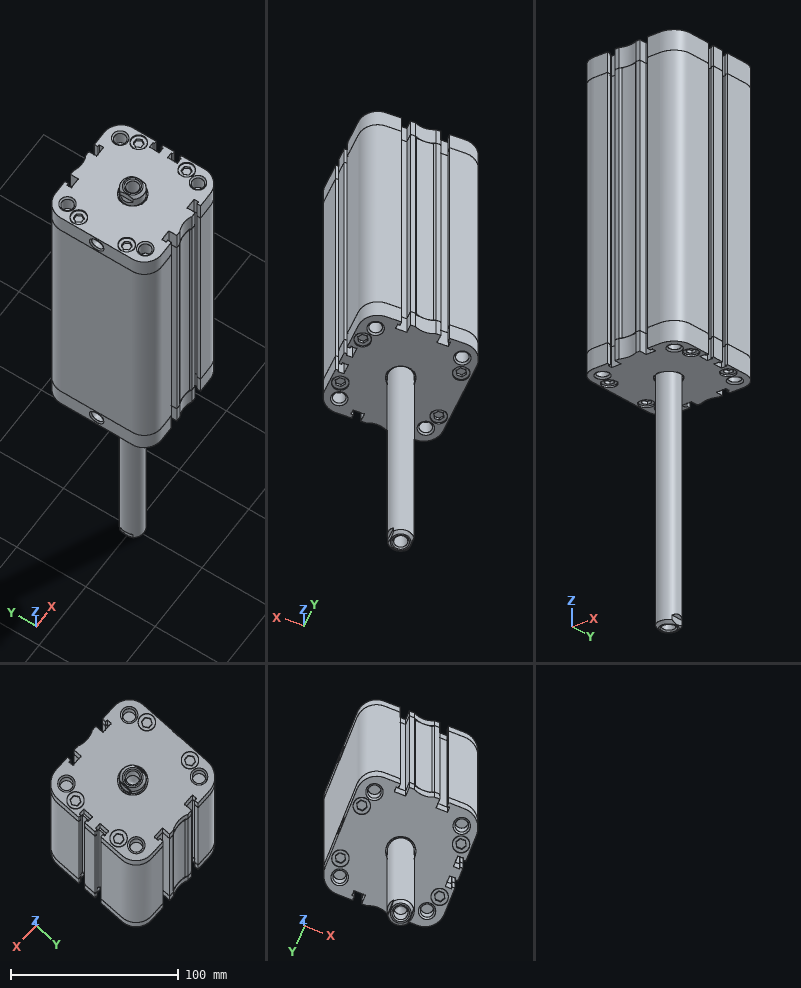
import cadquery as cq
import math

WIDTH = 77.0
CORNER_RADIUS = 12.7
BODY_LENGTH = 209.0
CAP_HEIGHT = 14.0
BARREL_LENGTH = BODY_LENGTH - 2 * CAP_HEIGHT
HALF_WIDTH = WIDTH / 2

SIDE_SLOT_WIDTH = 5.8
SIDE_SLOT_OFFSET = 12.7
SIDE_SLOT_DEPTH = 5.8
SIDE_SLOT_LIP = 2.7
SIDE_SLOT_UNDERCUT = 1.5

T_SLOT_OFFSET = 6.5
T_SLOT_NECK = 4.5
T_SLOT_WIDTH = 7.0
CAP_T_SLOT_DEPTH = 5.8
BARREL_T_SLOT_DEPTH = 4.5
T_SLOT_LIP = 2.0

CHANNEL_WIDTH = 13.0
CHANNEL_DEPTH = 1.5
CHANNEL_FLOOR_WIDTH = 10.8
CHANNEL_EDGE_DEPTH = 1.0

MOUNT_OFFSET = 28.0
MOUNT_MOUTH_DIAMETER = 10.5
MOUNT_THREAD_DIAMETER = 8.0
MOUNT_DEPTH = 11.5

SCREW_X = 32.0
SCREW_Y = 17.5
SCREW_RECESS_DIAMETER = 10.5
SCREW_RECESS_DEPTH = 1.0
SCREW_SOCKET_DIAMETER = 6.5
SCREW_SOCKET_DEPTH = 3.0

PORT_DISTANCE = 7.5
PORT_MOUTH_DIAMETER = 10.5
PORT_DIAMETER = 8.5
PORT_DEPTH = 11.5

ROD_DIAMETER = 16.0
ROD_TOP_LENGTH = 8.0
ROD_BOTTOM_LENGTH = 168.0
ROD_LENGTH = ROD_BOTTOM_LENGTH + BODY_LENGTH + ROD_TOP_LENGTH
ROD_CHAMFER = 2.0
ROD_FLATS_WIDTH = 13.0
ROD_FLATS_LENGTH = 5.0
ROD_HOLE_MOUTH_DIAMETER = 10.5
ROD_HOLE_DIAMETER = 8.5
ROD_HOLE_DEPTH = 15.5
DRILL_POINT_ANGLE = 118

ROD_RECESS_DIAMETER = 18.0
ROD_RECESS_DEPTH = 1.0


def cylinder(diameter, top, depth, x=0, y=0):
    """Upright cylinder that goes down from height top."""
    return cq.Workplane("XY", origin=(x, y, top - depth)).circle(diameter / 2).extrude(depth)


def cone(top_diameter, bottom_diameter, top, depth, x=0, y=0):
    """Upright cone, or frustum, that goes down from height top."""
    solid = cq.Solid.makeCone(bottom_diameter / 2, top_diameter / 2, depth, cq.Vector(x, y, top - depth))
    return cq.Workplane(solid)


def side_slot(length):
    """Slot in the +Y side at positive X."""
    inner = SIDE_SLOT_OFFSET - SIDE_SLOT_WIDTH / 2
    outer = SIDE_SLOT_OFFSET + SIDE_SLOT_WIDTH / 2
    undercut = outer + SIDE_SLOT_UNDERCUT
    floor = HALF_WIDTH - SIDE_SLOT_DEPTH
    lip = HALF_WIDTH - SIDE_SLOT_LIP
    return (
        cq.Workplane("XY")
        .moveTo(inner, HALF_WIDTH)
        .lineTo(inner, floor)
        .lineTo(undercut, floor)
        .lineTo(undercut, lip)
        .lineTo(outer, lip)
        .lineTo(outer, HALF_WIDTH)
        .close()
        .extrude(length)
    )


def t_slot(length, depth):
    """T-slot in the +X side at positive Y."""
    neck = (
        cq.Workplane("XY")
        .center(HALF_WIDTH - depth / 2, T_SLOT_OFFSET)
        .rect(depth, T_SLOT_NECK)
        .extrude(length)
    )
    head_depth = depth - T_SLOT_LIP
    head = (
        cq.Workplane("XY")
        .center(HALF_WIDTH - depth + head_depth / 2, T_SLOT_OFFSET)
        .rect(head_depth, T_SLOT_WIDTH)
        .extrude(length)
    )
    return neck.union(head)


def cap_channel(length):
    """Concave channel in the +Y side of a cap, one arc wide."""
    return (
        cq.Workplane("XY")
        .moveTo(-CHANNEL_WIDTH / 2, HALF_WIDTH)
        .threePointArc((0, HALF_WIDTH - CHANNEL_DEPTH), (CHANNEL_WIDTH / 2, HALF_WIDTH))
        .close()
        .extrude(length)
    )


def barrel_channel(length):
    """Concave channel in the +Y side of the barrel, with bevelled edges."""
    edge = HALF_WIDTH - CHANNEL_EDGE_DEPTH
    return (
        cq.Workplane("XY")
        .moveTo(-CHANNEL_WIDTH / 2, HALF_WIDTH)
        .lineTo(-CHANNEL_FLOOR_WIDTH / 2, edge)
        .threePointArc((0, HALF_WIDTH - CHANNEL_DEPTH), (CHANNEL_FLOOR_WIDTH / 2, edge))
        .lineTo(CHANNEL_WIDTH / 2, HALF_WIDTH)
        .close()
        .extrude(length)
    )


def slotted_block(length, channel, t_slot_depth):
    """Rounded square block with every lengthwise slot and the bore for the rod."""
    block = cq.Workplane("XY").rect(WIDTH, WIDTH).extrude(length).edges("|Z").fillet(CORNER_RADIUS)
    right_slot = side_slot(length)
    back_cut = right_slot.union(right_slot.mirror("YZ")).union(channel)
    upper_t_slot = t_slot(length, t_slot_depth)
    block = block.cut(back_cut).cut(back_cut.mirror("XZ"))
    block = block.cut(upper_t_slot).cut(upper_t_slot.mirror("XZ"))
    return block.cut(cylinder(ROD_DIAMETER, length, length))


def mounting_hole(x, y):
    """Countersunk threaded hole in the outer face of a cap."""
    countersink = (MOUNT_MOUTH_DIAMETER - MOUNT_THREAD_DIAMETER) / 2
    mouth = cone(MOUNT_MOUTH_DIAMETER, MOUNT_THREAD_DIAMETER, CAP_HEIGHT, countersink, x, y)
    thread = cylinder(MOUNT_THREAD_DIAMETER, CAP_HEIGHT, MOUNT_DEPTH, x, y)
    return mouth.union(thread)


def screw_recess(x, y):
    """Recess above a screw head, with the head's hexagon socket."""
    recess = cylinder(SCREW_RECESS_DIAMETER, CAP_HEIGHT, SCREW_RECESS_DEPTH, x, y)
    socket = (
        cq.Workplane("XY", origin=(x, y, CAP_HEIGHT - SCREW_SOCKET_DEPTH))
        .polygon(6, SCREW_SOCKET_DIAMETER)
        .extrude(SCREW_SOCKET_DEPTH)
    )
    return recess.union(socket)


def air_port():
    """Countersunk port that enters a cap from its -X side."""
    countersink = (PORT_MOUTH_DIAMETER - PORT_DIAMETER) / 2
    mouth_centre = cq.Vector(-HALF_WIDTH, 0, CAP_HEIGHT - PORT_DISTANCE)
    inward = cq.Vector(1, 0, 0)
    mouth = cq.Solid.makeCone(
        PORT_MOUTH_DIAMETER / 2, PORT_DIAMETER / 2, countersink, mouth_centre, inward
    )
    hole = cq.Solid.makeCylinder(PORT_DIAMETER / 2, PORT_DEPTH, mouth_centre, inward)
    return cq.Workplane(mouth).union(cq.Workplane(hole))


def make_end_cap():
    """End cap with its outer face up and its inner face at Z = 0."""
    cap = slotted_block(CAP_HEIGHT, cap_channel(CAP_HEIGHT), CAP_T_SLOT_DEPTH)
    cap = cap.cut(cylinder(ROD_RECESS_DIAMETER, CAP_HEIGHT, ROD_RECESS_DEPTH))
    cap = cap.cut(air_port())
    for x_side in (-1, 1):
        for y_side in (-1, 1):
            cap = cap.cut(mounting_hole(x_side * MOUNT_OFFSET, y_side * MOUNT_OFFSET))
            cap = cap.cut(screw_recess(x_side * SCREW_X, y_side * SCREW_Y))
    return cap


def make_barrel():
    """Extruded barrel between the two caps."""
    barrel = slotted_block(BARREL_LENGTH, barrel_channel(BARREL_LENGTH), BARREL_T_SLOT_DEPTH)
    return barrel.translate((0, 0, CAP_HEIGHT))


def rod_flat():
    """Cut for the wrench flat on the +X side of the upper rod end, with a 45 degree shoulder."""
    flat = ROD_FLATS_WIDTH / 2
    radius = ROD_DIAMETER / 2
    shoulder = ROD_LENGTH - ROD_FLATS_LENGTH
    return (
        cq.Workplane("XZ")
        .moveTo(flat, ROD_LENGTH)
        .lineTo(flat, shoulder)
        .lineTo(radius, shoulder - (radius - flat))
        .lineTo(radius, ROD_LENGTH)
        .close()
        .extrude(radius, both=True)
    )


def rod_end_hole():
    """Countersunk blind hole in the upper rod end, with a drill point."""
    countersink = (ROD_HOLE_MOUTH_DIAMETER - ROD_HOLE_DIAMETER) / 2
    point_depth = ROD_HOLE_DIAMETER / 2 / math.tan(math.radians(DRILL_POINT_ANGLE / 2))
    mouth = cone(ROD_HOLE_MOUTH_DIAMETER, ROD_HOLE_DIAMETER, ROD_LENGTH, countersink)
    hole = cylinder(ROD_HOLE_DIAMETER, ROD_LENGTH, ROD_HOLE_DEPTH)
    point = cone(ROD_HOLE_DIAMETER, 0, ROD_LENGTH - ROD_HOLE_DEPTH, point_depth)
    return mouth.union(hole).union(point)


def make_rod():
    """Through rod with the same flats, chamfer and threaded hole at both ends."""
    rod = cylinder(ROD_DIAMETER, ROD_LENGTH, ROD_LENGTH).faces("<Z or >Z").chamfer(ROD_CHAMFER)
    flat = rod_flat()
    end_cut = flat.union(flat.mirror("YZ")).union(rod_end_hole())
    middle = (0, 0, ROD_LENGTH / 2)
    rod = rod.cut(end_cut).cut(end_cut.mirror("XY", middle))
    return rod.translate((0, 0, -ROD_BOTTOM_LENGTH))


barrel = make_barrel()
end_cap = make_end_cap()
top_cap = end_cap.translate((0, 0, BODY_LENGTH - CAP_HEIGHT))
bottom_cap = end_cap.mirror("XY").translate((0, 0, CAP_HEIGHT))
rod = make_rod()

result = cq.Compound.makeCompound([barrel.val(), top_cap.val(), bottom_cap.val(), rod.val()])